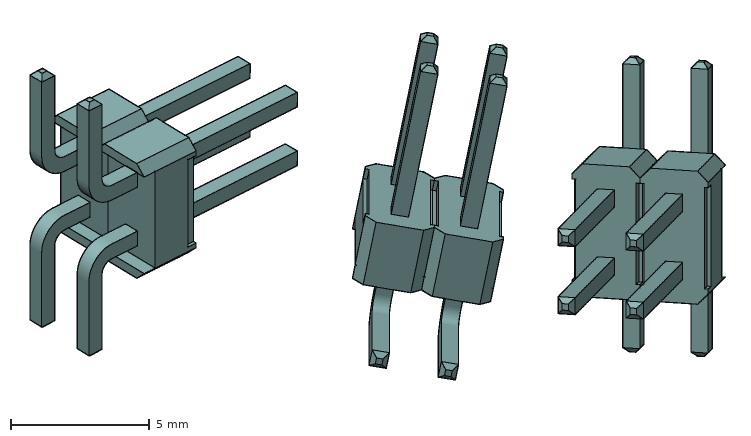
import cadquery as cq

total_height = 11.0
pitch = 2.54
module_count = 2

housing_width = pitch
flange_depth = pitch
core_depth = 2.0
core_height = 4.18
flange_thickness = 0.4
flange_bevel = 0.4

recess_inset = 0.14
recess_length = 0.4
recess_margin = 0.2

pin_size = 0.64
pin_front_reach = 1.83
pin_rear_reach = 6.0
bend_outer_radius = 1.12
tip_taper = 0.2

rear_y = flange_depth
pin_z = pitch / 2
leg_y = pin_size / 2 - pin_front_reach
tip_y = rear_y + pin_rear_reach
bend_radius = bend_outer_radius - pin_size / 2


def make_flange():
    """Upper flange: a plate that narrows upward from the full housing width."""
    half_base = housing_width / 2
    half_top = half_base - flange_bevel
    shoulder_z = core_height / 2
    top_z = shoulder_z + flange_thickness
    return (
        cq.Workplane("XZ", origin=(0, rear_y, 0))
        .moveTo(-half_base, shoulder_z)
        .lineTo(half_base, shoulder_z)
        .lineTo(half_top, top_z)
        .lineTo(-half_top, top_z)
        .close()
        .extrude(flange_depth)
    )


def make_housing():
    """I-shaped block with a recess at the rear of each side."""
    core = cq.Workplane("XY").box(housing_width, core_depth, core_height)
    core = core.translate((0, rear_y - core_depth / 2, 0))

    recess_height = core_height - 2 * recess_margin
    recess = cq.Workplane("XY").box(recess_inset, recess_length, recess_height)
    recess_x = (housing_width - recess_inset) / 2
    for side in (-1, 1):
        core = core.cut(recess.translate((side * recess_x, rear_y - recess_length / 2, 0)))

    upper_flange = make_flange()
    lower_flange = upper_flange.mirror("XY")
    return core.union(upper_flange).union(lower_flange)


def make_upper_pin():
    """Pin that runs forward through the housing and then bends upward."""
    path = (
        cq.Workplane("YZ")
        .moveTo(tip_y, pin_z)
        .lineTo(leg_y + bend_radius, pin_z)
        .radiusArc((leg_y, pin_z + bend_radius), bend_radius)
        .lineTo(leg_y, total_height / 2)
    )
    wire = cq.Workplane("XZ", origin=(0, tip_y, pin_z)).rect(pin_size, pin_size).sweep(path)
    return wire.faces(">Y or >Z").chamfer(tip_taper)


def make_module():
    """One single-position module: a housing with its two pins moulded in."""
    upper_pin = make_upper_pin()
    lower_pin = upper_pin.mirror("XY")
    return make_housing().union(upper_pin).union(lower_pin).solids()


modules = []
for position in range(module_count):
    module_x = (position - (module_count - 1) / 2) * pitch
    modules.append(make_module().translate((module_x, 0, 0)).val())

result = cq.Compound.makeCompound(modules)